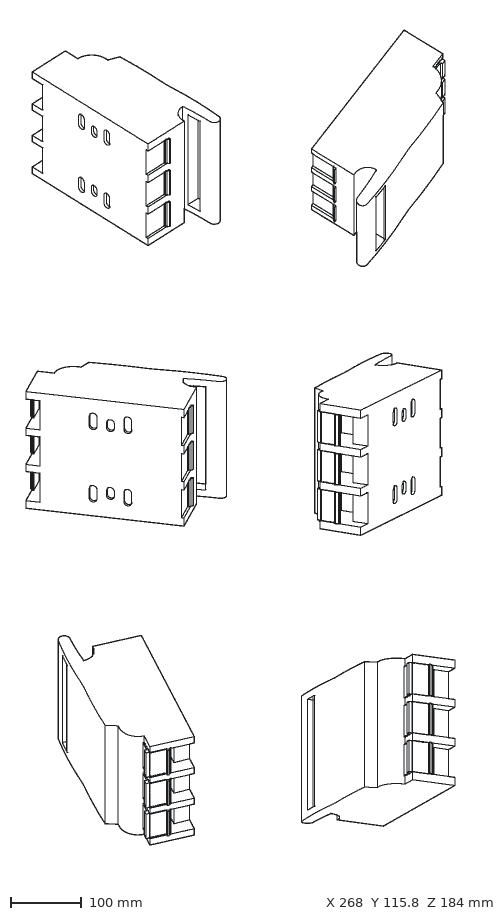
import cadquery as cq


WIDTH = 184.0
BODY_LENGTH = 230.0
LEDGE_HEIGHT = 66.5
LEDGE_LENGTH = 24.7
SHOULDER_RADIUS = 27.5
SHOULDER_END = 56.8
BROW_X = 63.8
BROW_HEIGHT = 111.2
CROWN_X = 107.2
CROWN_HEIGHT = 113.0
DIP_X = 152.8
DIP_HEIGHT = 112.8
LEVER_START = 190.8
LEVER_START_HEIGHT = 115.2
LEVER_PEAK_X = 214.5
TOTAL_HEIGHT = 115.8
LEVER_NOSE_X = 256.5
LEVER_NOSE_TOP = 114.5
LEVER_NOSE_BOTTOM = 97.3
LEVER_TIP = 265.0
UNDERSIDE_MID_X = 230.5
UNDERSIDE_MID_HEIGHT = 96.5
LEVER_ROOT_X = 205.3
LEVER_ROOT_HEIGHT = 94.3
HEEL_HEIGHT = 72.5
HEEL_START = 223.8
HOLLOW_MID_X = 210.7
HOLLOW_MID_HEIGHT = 80.0

LEVER_SLOT_START = 214.5
LEVER_SLOT_END = 237.0
LEVER_SLOT_MARGIN = 10.7
LEVER_SLOT_BASE = 91.0

POLE_PITCH = 57.0
POLE_CENTERS = [WIDTH / 2 + i * POLE_PITCH for i in (-1, 0, 1)]

BAY_WIDTH = 45.8
BAY_DEPTH = 20.5
BAY_DRAFT = 1.0
SILL_HEIGHT = 23.9
CAVITY_END = 59.0
CAVITY_ROOF = 65.0
STUD_DIAMETER = 8.5
STUD_HEIGHT = 3.8
STUD_X = 43.0

COVER_INSET = 1.3
COVER_THICKNESS = 1.5
COVER_BOTTOM = 34.3
COVER_TOP = 71.5
TAB_INSET = 2.0
TAB_END = 8.5
FLAP_TOP = 68.3
CATCH_REACH = 3.0
CATCH_SLOPE_START = 0.8
CATCH_BOTTOM = 36.0
CATCH_EDGE = 39.0
CATCH_TOP = 41.3

REAR_WIDTH = 44.0
REAR_DEPTH = 3.8
REAR_PANEL_THICKNESS = 1.3
REAR_PANEL_BOTTOM = 36.0
REAR_REACH = 3.0
REAR_SLOPE_START = 0.5
REAR_CATCH_BOTTOM = 37.5
REAR_CATCH_EDGE = 40.5
REAR_CATCH_TOP = 41.8

SLOT_WIDTH = 11.3
SLOT_DEPTH = 4.5
LONG_SLOT = 25.7
SHORT_SLOT = 18.5
SLOT_SPACING = 25.2
MIDDLE_SLOT_X = 123.0


def across(outline, width, center):
    """Extrude a closed XY outline along Z, centred on the given Z."""
    return outline.extrude(width / 2, both=True).translate((0, 0, center))


def housing():
    outline = (
        cq.Workplane("XY")
        .lineTo(0, LEDGE_HEIGHT)
        .lineTo(LEDGE_LENGTH, LEDGE_HEIGHT)
        .radiusArc((LEDGE_LENGTH + SHOULDER_RADIUS, LEDGE_HEIGHT + SHOULDER_RADIUS), SHOULDER_RADIUS)
        .lineTo(SHOULDER_END, LEDGE_HEIGHT + SHOULDER_RADIUS)
        .lineTo(BROW_X, BROW_HEIGHT)
        .threePointArc((CROWN_X, CROWN_HEIGHT), (DIP_X, DIP_HEIGHT))
        .lineTo(LEVER_START, LEVER_START_HEIGHT)
        .threePointArc((LEVER_PEAK_X, TOTAL_HEIGHT), (LEVER_NOSE_X, LEVER_NOSE_TOP))
        .threePointArc(
            (LEVER_TIP, (LEVER_NOSE_TOP + LEVER_NOSE_BOTTOM) / 2),
            (LEVER_NOSE_X, LEVER_NOSE_BOTTOM),
        )
        .threePointArc((UNDERSIDE_MID_X, UNDERSIDE_MID_HEIGHT), (LEVER_ROOT_X, LEVER_ROOT_HEIGHT))
        .threePointArc((HOLLOW_MID_X, HOLLOW_MID_HEIGHT), (HEEL_START, HEEL_HEIGHT))
        .lineTo(BODY_LENGTH, HEEL_HEIGHT)
        .lineTo(BODY_LENGTH, 0)
        .close()
    )
    return across(outline, WIDTH, WIDTH / 2)


def lever_slot():
    length = LEVER_SLOT_END - LEVER_SLOT_START
    height = TOTAL_HEIGHT - LEVER_SLOT_BASE
    return cq.Workplane("XY").box(
        length, height, WIDTH - 2 * LEVER_SLOT_MARGIN, centered=False
    ).translate((LEVER_SLOT_START, LEVER_SLOT_BASE, LEVER_SLOT_MARGIN))


def terminal_cavity(center):
    """Bay open at the end and the mounting face, widening inward above its sill and open upward."""
    outline = cq.Workplane("XY").polyline([
        (0, 0),
        (BAY_DEPTH, 0),
        (BAY_DEPTH - BAY_DRAFT, SILL_HEIGHT),
        (CAVITY_END, SILL_HEIGHT),
        (CAVITY_END, CAVITY_ROOF),
        (LEDGE_LENGTH, CAVITY_ROOF),
        (LEDGE_LENGTH, LEDGE_HEIGHT),
        (0, LEDGE_HEIGHT),
    ]).close()
    return across(outline, BAY_WIDTH, center)


def terminal_stud(center):
    """Short stud standing on the cavity floor, sunk into it by its own height."""
    stud = cq.Workplane("XZ").circle(STUD_DIAMETER / 2).extrude(-2 * STUD_HEIGHT)
    return stud.translate((STUD_X, SILL_HEIGHT - STUD_HEIGHT, center))


def terminal_cover(center):
    """End panel with an outer catch, a top tab and a flap running in over the cavity."""
    panel_inner = COVER_INSET + COVER_THICKNESS
    outline = cq.Workplane("XY").polyline([
        (panel_inner, COVER_BOTTOM),
        (COVER_INSET, COVER_BOTTOM),
        (COVER_INSET, CATCH_BOTTOM),
        (-CATCH_SLOPE_START, CATCH_BOTTOM),
        (-CATCH_REACH, CATCH_EDGE),
        (-CATCH_REACH, CATCH_TOP),
        (COVER_INSET, CATCH_TOP),
        (COVER_INSET, LEDGE_HEIGHT),
        (TAB_INSET, LEDGE_HEIGHT),
        (TAB_INSET, COVER_TOP),
        (TAB_END, COVER_TOP),
        (TAB_END, FLAP_TOP),
        (CAVITY_END, FLAP_TOP),
        (CAVITY_END, CAVITY_ROOF),
        (panel_inner, CAVITY_ROOF),
    ]).close()
    return across(outline, BAY_WIDTH, center)


def rear_recess(center):
    """Shallow recess rising from the mounting face to the top of the rear catch."""
    outline = cq.Workplane("XY").polyline([
        (BODY_LENGTH - REAR_DEPTH, 0),
        (BODY_LENGTH, 0),
        (BODY_LENGTH, REAR_CATCH_TOP),
        (BODY_LENGTH - REAR_DEPTH, REAR_CATCH_TOP),
    ]).close()
    return across(outline, REAR_WIDTH, center)


def rear_catch(center):
    """Panel strip on the recess floor carrying a catch like those at the other end."""
    floor_x = BODY_LENGTH - REAR_DEPTH
    panel_outer = floor_x + REAR_PANEL_THICKNESS
    outline = cq.Workplane("XY").polyline([
        (floor_x, REAR_PANEL_BOTTOM),
        (panel_outer, REAR_PANEL_BOTTOM),
        (panel_outer, REAR_CATCH_BOTTOM),
        (BODY_LENGTH + REAR_SLOPE_START, REAR_CATCH_BOTTOM),
        (BODY_LENGTH + REAR_REACH, REAR_CATCH_EDGE),
        (BODY_LENGTH + REAR_REACH, REAR_CATCH_TOP),
        (floor_x, REAR_CATCH_TOP),
    ]).close()
    return across(outline, REAR_WIDTH, center)


def mounting_slot(x, z, length):
    slot = cq.Workplane("XZ").slot2D(length, SLOT_WIDTH, 90).extrude(-SLOT_DEPTH)
    return slot.translate((x, 0, z))


body = housing().cut(lever_slot())

for pole in POLE_CENTERS:
    body = body.cut(terminal_cavity(pole)).cut(rear_recess(pole))
    body = body.union(terminal_cover(pole)).union(terminal_stud(pole)).union(rear_catch(pole))

for pole, inward in ((POLE_CENTERS[0], 1), (POLE_CENTERS[-1], -1)):
    for side in (-1, 1):
        body = body.cut(mounting_slot(MIDDLE_SLOT_X + side * SLOT_SPACING, pole, LONG_SLOT))
    short_center = pole + inward * (LONG_SLOT - SHORT_SLOT) / 2
    body = body.cut(mounting_slot(MIDDLE_SLOT_X, short_center, SHORT_SLOT))

result = body